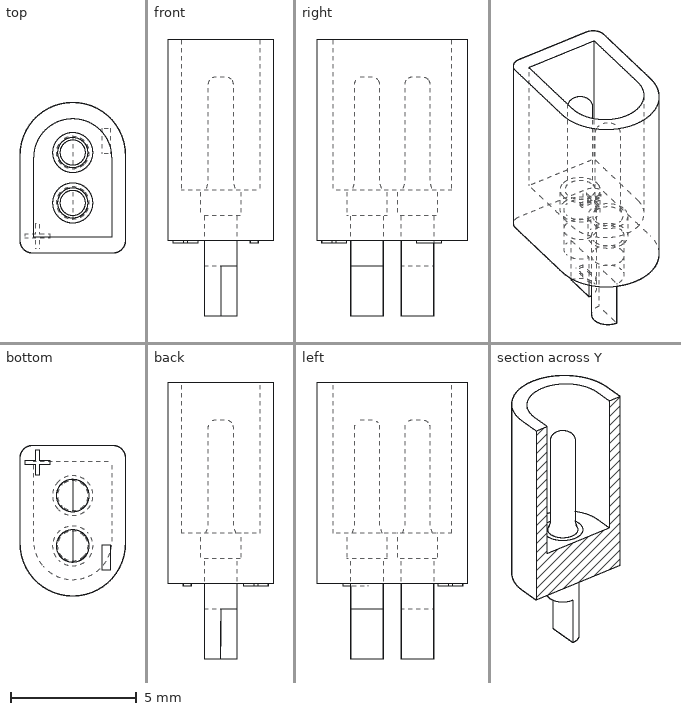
import cadquery as cq

WIDTH = 4.2
LENGTH = 6.0
TOTAL_HEIGHT = 11.0
TAIL_LENGTH = 3.0
HOUSING_HEIGHT = TOTAL_HEIGHT - TAIL_LENGTH
CORNER_RADIUS = 0.51

SIDE_WALL = 0.55
END_WALL = 0.65
CAVITY_WIDTH = WIDTH - 2 * SIDE_WALL
CAVITY_LENGTH = LENGTH - 2 * END_WALL
FLOOR_Z = 2.0

PIN_OFFSET = 1.0
TAIL_DIAMETER = 1.3
COLLAR_DIAMETER = 1.6
COLLAR_HEIGHT = 1.0
CONE_DIAMETER = 1.2
CONE_HEIGHT = 0.3
CONTACT_DIAMETER = 1.0
CONTACT_LENGTH = 4.5
TIP_RADIUS = 0.3
FLAT_LENGTH = 2.0

MARK_HEIGHT = 0.1
MARK_LENGTH = 1.0
PLUS_STROKE = 0.16
PLUS_X = -1.4
PLUS_Y = -2.31
MINUS_STROKE = 0.33
MINUS_X = 1.33
MINUS_Y = 1.46


def d_prism(width, length, bottom_z, height):
    """Prism with a straight -Y end and a full half-round +Y end."""
    half_width = width / 2
    half_length = length / 2
    arc_start_y = half_length - half_width
    return (
        cq.Workplane("XY", origin=(0, 0, bottom_z))
        .moveTo(-half_width, -half_length)
        .lineTo(half_width, -half_length)
        .lineTo(half_width, arc_start_y)
        .threePointArc((0, half_length), (-half_width, arc_start_y))
        .close()
        .extrude(height)
    )


def mark_bar(x, y, x_size, y_size):
    """Raised bar hanging from the underside of the housing."""
    return cq.Workplane("XY").center(x, y).rect(x_size, y_size).extrude(-MARK_HEIGHT)


def make_pin_blank(y):
    """Round pin: tail, collar, conical foot and contact with a rounded tip."""
    tail_radius = TAIL_DIAMETER / 2
    collar_radius = COLLAR_DIAMETER / 2
    contact_radius = CONTACT_DIAMETER / 2
    collar_z = FLOOR_Z - COLLAR_HEIGHT
    return (
        cq.Workplane("XZ")
        .moveTo(0, -TAIL_LENGTH)
        .lineTo(tail_radius, -TAIL_LENGTH)
        .lineTo(tail_radius, collar_z)
        .lineTo(collar_radius, collar_z)
        .lineTo(collar_radius, FLOOR_Z)
        .lineTo(CONE_DIAMETER / 2, FLOOR_Z)
        .lineTo(contact_radius, FLOOR_Z + CONE_HEIGHT)
        .lineTo(contact_radius, FLOOR_Z + CONTACT_LENGTH)
        .lineTo(0, FLOOR_Z + CONTACT_LENGTH)
        .close()
        .revolve(360, (0, 0, 0), (0, 1, 0))
        .faces(">Z")
        .edges()
        .fillet(TIP_RADIUS)
        .translate((0, y, 0))
    )


def make_pin(side):
    """Pin at side * PIN_OFFSET, with half of its tail end cut away on the opposite X side."""
    y = side * PIN_OFFSET
    cut = (
        cq.Workplane("XY", origin=(0, 0, -TAIL_LENGTH))
        .center(-side * TAIL_DIAMETER / 2, y)
        .rect(TAIL_DIAMETER, 2 * TAIL_DIAMETER)
        .extrude(FLAT_LENGTH)
    )
    return make_pin_blank(y).cut(cut)


def make_housing():
    """Sleeve with polarity marks and stepped holes that fit the pins."""
    body = d_prism(WIDTH, LENGTH, 0, HOUSING_HEIGHT)
    body = body.edges("|Z and <Y").fillet(CORNER_RADIUS)
    body = body.cut(d_prism(CAVITY_WIDTH, CAVITY_LENGTH, FLOOR_Z, HOUSING_HEIGHT - FLOOR_Z))
    body = body.union(mark_bar(PLUS_X, PLUS_Y, MARK_LENGTH, PLUS_STROKE))
    body = body.union(mark_bar(PLUS_X, PLUS_Y, PLUS_STROKE, MARK_LENGTH))
    body = body.union(mark_bar(MINUS_X, MINUS_Y, MINUS_STROKE, MARK_LENGTH))
    for side in (-1, 1):
        body = body.cut(make_pin_blank(side * PIN_OFFSET))
    return body


housing = make_housing()
pins = [make_pin(side) for side in (-1, 1)]

result = cq.Compound.makeCompound([housing.val(), *[pin.val() for pin in pins]])